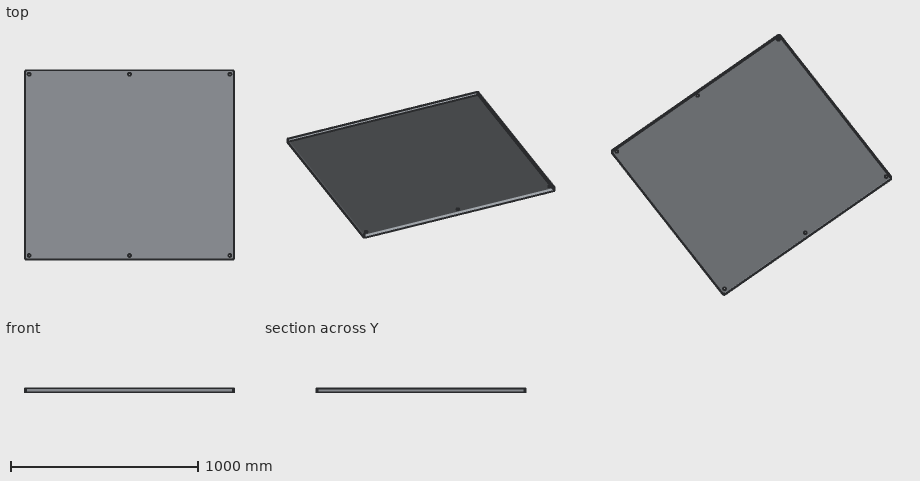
import cadquery as cq
import math

length = 1117.6
width = 1013.16
height = 22.23

sheet = 2.5
inner_bend_radius = 1.3
outer_bend_radius = inner_bend_radius + sheet
corner_gap = 1.6
corner_relief = outer_bend_radius + corner_gap

hole_diameter = 14.3
hole_inset = 22.23

def folded_flange(panel_span, run):
    """Flange folded down along the +X side of a panel `panel_span` wide, `run` long along Y."""
    outer_face = panel_span / 2
    bend_center_x = outer_face - outer_bend_radius
    bend_center_z = height - outer_bend_radius
    diagonal = math.sqrt(0.5)

    def on_bend(radius):
        return (bend_center_x + radius * diagonal, bend_center_z + radius * diagonal)

    return (
        cq.Workplane("XZ", origin=(0, run / 2, 0))
        .moveTo(outer_face, 0)
        .lineTo(outer_face, bend_center_z)
        .threePointArc(on_bend(outer_bend_radius), (bend_center_x, height))
        .lineTo(bend_center_x, height - sheet)
        .threePointArc(on_bend(inner_bend_radius), (outer_face - sheet, bend_center_z))
        .lineTo(outer_face - sheet, 0)
        .close()
        .extrude(run)
    )

def folded_panel():
    """Flat web reaching to the bend lines, with a flange folded down along each side."""
    panel = (
        cq.Workplane("XY")
        .workplane(offset=height - sheet)
        .box(
            length - 2 * outer_bend_radius,
            width - 2 * outer_bend_radius,
            sheet,
            centered=(True, True, False),
        )
    )
    side_flange = folded_flange(length, width - 2 * corner_relief)
    end_flange = folded_flange(width, length - 2 * corner_relief)
    for flange, angle in ((side_flange, 0), (end_flange, 90), (side_flange, 180), (end_flange, 270)):
        panel = panel.union(flange.rotate((0, 0, 0), (0, 0, 1), angle))
    return panel

def mounting_holes():
    reach_x = length / 2 - hole_inset
    reach_y = width / 2 - hole_inset
    centers = [(x, y) for x in (-reach_x, 0, reach_x) for y in (-reach_y, reach_y)]
    return cq.Workplane("XY").pushPoints(centers).circle(hole_diameter / 2).extrude(height)

result = folded_panel().cut(mounting_holes())